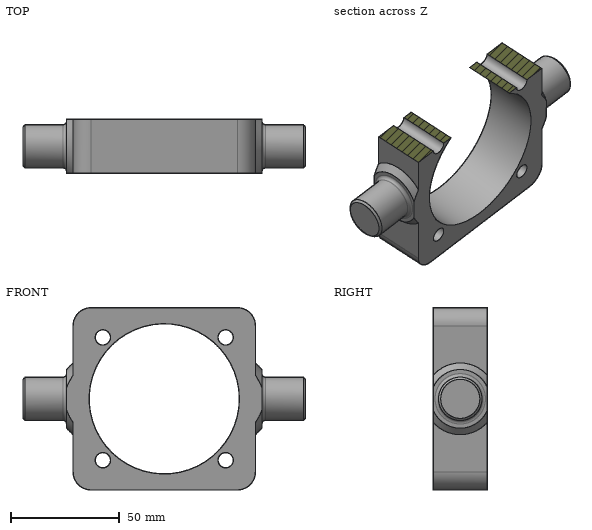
import cadquery as cq

plate_side = 84.0
plate_thickness = 25.0
corner_radius = 8.4
bore_diameter = 69.0

hole_diameter = 6.9
hole_spacing = 56.5

overall_length = 130.0
pin_diameter = 20.0
pin_chamfer = 1.0
pin_root_fillet = 1.6
boss_height = 3.0
boss_base_diameter = 33.0
boss_top_diameter = boss_base_diameter - 2 * boss_height

plate_half_side = plate_side / 2
boss_face = plate_half_side + boss_height
pin_end = overall_length / 2


def make_plate():
    """Square plate with rounded corners, solid until the bore and holes are cut."""
    return (
        cq.Workplane("XY")
        .box(plate_side, plate_thickness, plate_side)
        .edges("|Y")
        .fillet(corner_radius)
    )


def make_trunnion():
    """Boss and pin on the +X side, revolved about X and trimmed to the plate faces."""
    pin_radius = pin_diameter / 2
    fillet_end_x = boss_face + pin_root_fillet
    fillet_outer_radius = pin_radius + pin_root_fillet
    profile = (
        cq.Workplane("XZ")
        .moveTo(plate_half_side, 0)
        .lineTo(plate_half_side, boss_base_diameter / 2)
        .lineTo(boss_face, boss_top_diameter / 2)
        .lineTo(boss_face, fillet_outer_radius)
        .radiusArc((fillet_end_x, pin_radius), -pin_root_fillet)
        .lineTo(pin_end - pin_chamfer, pin_radius)
        .lineTo(pin_end, pin_radius - pin_chamfer)
        .lineTo(pin_end, 0)
        .close()
    )
    trunnion = profile.revolve(360, (0, 0, 0), (1, 0, 0))
    plate_slab = cq.Workplane("XY").box(overall_length, plate_thickness, plate_side)
    return trunnion.intersect(plate_slab)


def cut_bore(body):
    """Large central opening through the plate along Y."""
    return body.faces("<Y").workplane(origin=(0, 0, 0)).circle(bore_diameter / 2).cutThruAll()


def cut_mounting_holes(body):
    """Four through holes on a square pattern around the bore."""
    return (
        body.faces("<Y")
        .workplane(origin=(0, 0, 0))
        .rect(hole_spacing, hole_spacing, forConstruction=True)
        .vertices()
        .hole(hole_diameter)
    )


right_trunnion = make_trunnion()
left_trunnion = right_trunnion.mirror("YZ")
result = make_plate().union(right_trunnion).union(left_trunnion)
result = cut_bore(result)
result = cut_mounting_holes(result)